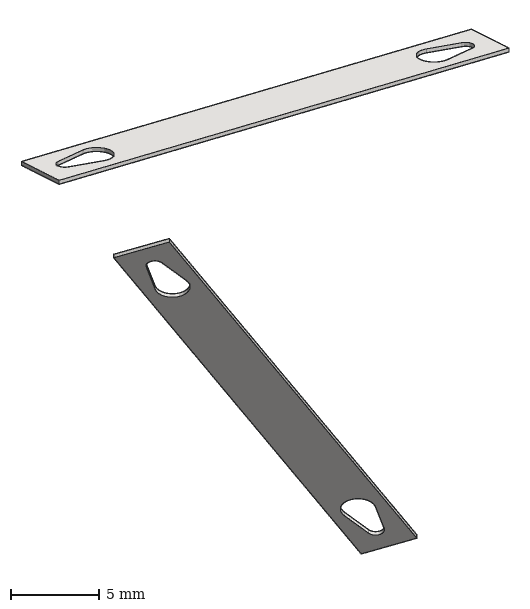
import cadquery as cq
import math

WIDTH = 3.5
LENGTH = 32.0
THICKNESS = 0.25

WIDE_RADIUS = 1.0
NARROW_RADIUS = 0.5
END_MARGIN = 1.25
CENTER_SPACING = 2.25


def make_strip():
    return cq.Workplane("XY").box(WIDTH, LENGTH, THICKNESS)


def make_keyhole(side):
    """Teardrop cutter; side is +1 for the +Y end and -1 for the -Y end."""
    narrow_center = LENGTH / 2 - END_MARGIN - NARROW_RADIUS
    wide_center = narrow_center - CENTER_SPACING

    sine = (WIDE_RADIUS - NARROW_RADIUS) / CENTER_SPACING
    cosine = math.sqrt(1 - sine**2)

    wide_x = WIDE_RADIUS * cosine
    wide_y = side * (wide_center + WIDE_RADIUS * sine)
    narrow_x = NARROW_RADIUS * cosine
    narrow_y = side * (narrow_center + NARROW_RADIUS * sine)
    wide_tip = (0, side * (wide_center - WIDE_RADIUS))
    narrow_tip = (0, side * (narrow_center + NARROW_RADIUS))

    return (
        cq.Workplane("XY")
        .moveTo(wide_x, wide_y)
        .lineTo(narrow_x, narrow_y)
        .threePointArc(narrow_tip, (-narrow_x, narrow_y))
        .lineTo(-wide_x, wide_y)
        .threePointArc(wide_tip, (wide_x, wide_y))
        .close()
        .extrude(THICKNESS, both=True)
    )


result = make_strip()
for end_side in (1, -1):
    result = result.cut(make_keyhole(end_side))